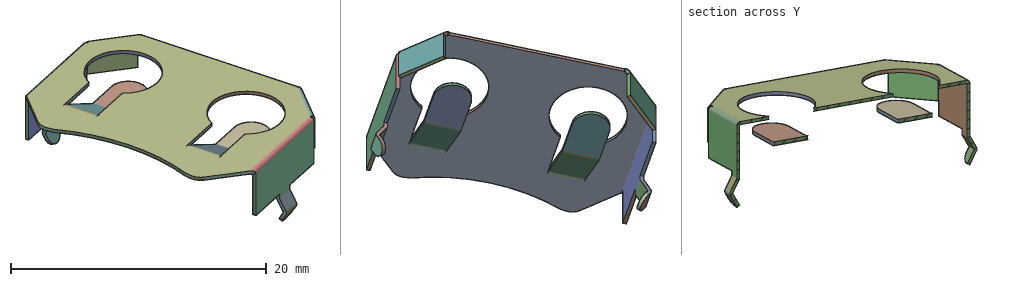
import cadquery as cq
import math


sheet = 0.30
bend_inner = 0.05
bend_outer = bend_inner + sheet

overall_width = 22.35
overall_depth = 15.29
overall_height = 7.06
rear_limit = overall_depth / 2
front_limit = -overall_depth / 2

wall_face_x = 10.55
wall_bend_x = wall_face_x - bend_outer
rear_edge_y = 7.565
rear_corner_sum = 14.69
front_corner_sum = 14.90
nose_radius = 1.28
nose_end_x = 6.56
scallop_end_x = 6.03
scallop_end_y = -7.555
scallop_middle_y = -6.41

wall_height = 4.25
wall_rear_y = 4.42
wall_front_y = wall_face_x - front_corner_sum
tab_width = 1.56
tab_kink_depth = 4.64
tab_angle = 30.0

flange_height = 3.03

finger_x = 5.62
finger_width = 3.03
finger_root_y = -4.21
finger_tip_y = 4.56
finger_drop = 2.28
finger_angle = 28.5
root_bend_inner = 0.40
contact_bend_inner = 0.25
opening_radius = 3.06
opening_y = 2.29


def polar(length, heading):
    """Vector of the given length at a heading in degrees."""
    angle = math.radians(heading)
    return cq.Vector(length * math.cos(angle), length * math.sin(angle))


def turned(point, centre, angle):
    """Point rotated about a centre by an angle in degrees."""
    arm = point - centre
    return centre + polar(arm.Length, math.degrees(math.atan2(arm.y, arm.x)) + angle)


def straight(length):
    return ("straight", length, 0.0)


def bend(angle, inner=bend_inner):
    """Bend by an angle in degrees, positive towards the top face."""
    return ("bend", angle, inner)


def trace_strip(steps):
    """Follow both faces of a strip that starts level at (0, 0) on its top face.

    Returns the points of each face as (arc midpoint or None, end point), and the final heading.
    """
    heading = 0.0
    top = cq.Vector(0, 0)
    bottom = cq.Vector(0, -sheet)
    top_path = [(None, top)]
    bottom_path = [(None, bottom)]
    for kind, amount, inner in steps:
        if kind == "straight":
            step = polar(amount, heading)
            top_mid = None
            bottom_mid = None
            top = top + step
            bottom = bottom + step
        else:
            centre = top + polar(inner, heading + 90)
            if amount < 0:
                centre = bottom + polar(inner, heading - 90)
            top_mid = turned(top, centre, amount / 2)
            bottom_mid = turned(bottom, centre, amount / 2)
            top = turned(top, centre, amount)
            bottom = turned(bottom, centre, amount)
            heading += amount
        top_path.append((top_mid, top))
        bottom_path.append((bottom_mid, bottom))
    return top_path, bottom_path, heading


def draw_to(sketch, mid, end):
    if mid is None:
        return sketch.lineTo(end.x, end.y)
    return sketch.threePointArc((mid.x, mid.y), (end.x, end.y))


def bent_strip(plane, steps, width):
    """Solid strip whose side profile lies in the plane, extruded along the plane normal."""
    top_path, bottom_path, _ = trace_strip(steps)
    sketch = cq.Workplane(plane).moveTo(0, 0)
    for mid, end in top_path[1:]:
        sketch = draw_to(sketch, mid, end)
    tip = bottom_path[-1][1]
    sketch = sketch.lineTo(tip.x, tip.y)
    for index in range(len(bottom_path) - 1, 0, -1):
        sketch = draw_to(sketch, bottom_path[index][0], bottom_path[index - 1][1])
    return sketch.close().extrude(width)


def half_plate():
    nose_y = front_limit + nose_radius
    nose_x = front_corner_sum - nose_radius * math.sqrt(2) + nose_y
    nose = cq.Vector(nose_x, nose_y)
    nose_start = nose + polar(nose_radius, -45)
    nose_low = nose + polar(nose_radius, -90)
    nose_end_y = nose_y - math.sqrt(nose_radius**2 - (nose_end_x - nose_x)**2)

    scallop_rise = scallop_middle_y - scallop_end_y
    scallop_radius = (scallop_end_x**2 + scallop_rise**2) / (2 * scallop_rise)
    scallop_mid_x = scallop_end_x / 2
    scallop_centre_y = scallop_middle_y - scallop_radius
    scallop_mid_y = scallop_centre_y + math.sqrt(scallop_radius**2 - scallop_mid_x**2)

    outline = (
        cq.Workplane("XY")
        .moveTo(0, rear_edge_y)
        .lineTo(rear_corner_sum - rear_edge_y, rear_edge_y)
        .lineTo(wall_bend_x, rear_corner_sum - wall_bend_x)
        .lineTo(wall_bend_x, wall_bend_x - front_corner_sum)
        .lineTo(nose_start.x, nose_start.y)
        .threePointArc((nose_low.x, nose_low.y), (nose_end_x, nose_end_y))
        .lineTo(scallop_end_x, scallop_end_y)
        .threePointArc((scallop_mid_x, scallop_mid_y), (0, scallop_middle_y))
        .close()
    )
    plate = outline.extrude(-sheet)
    slot = (
        cq.Workplane("XY")
        .center(finger_x, (finger_root_y + opening_y) / 2)
        .rect(finger_width, opening_y - finger_root_y)
        .extrude(-sheet)
    )
    hole = cq.Workplane("XY").center(finger_x, opening_y).circle(opening_radius).extrude(-sheet)
    return plate.cut(slot).cut(hole)


def side_wall():
    """Wall bent down from the plate, its bend mitred at the front along the plate corner."""
    bend_front_y = wall_bend_x - front_corner_sum
    plane = cq.Plane((wall_bend_x, wall_rear_y, 0), (1, 0, 0), (0, -1, 0))
    steps = [bend(-90), straight(wall_height - bend_outer)]
    wall = bent_strip(plane, steps, wall_rear_y - bend_front_y)
    bend_plan = (
        cq.Workplane("XY")
        .polyline([
            (wall_bend_x, wall_rear_y),
            (wall_face_x, wall_rear_y),
            (wall_face_x, wall_front_y),
            (wall_bend_x, bend_front_y),
        ])
        .close()
        .extrude(-bend_outer)
    )
    wall_block = (
        cq.Workplane("XY", origin=(wall_bend_x, wall_front_y, -bend_outer))
        .rect(bend_outer, wall_rear_y - wall_front_y, centered=False)
        .extrude(bend_outer - wall_height)
    )
    return wall.intersect(bend_plan.union(wall_block))


def snap_tab():
    """Tab that kinks out below the wall and back in, with a fully rounded tip."""
    sine = math.sin(math.radians(tab_angle))
    cosine = math.cos(math.radians(tab_angle))
    kink_run = overall_width / 2 - bend_outer - (wall_face_x + bend_inner)
    bend_gap = bend_inner + bend_outer
    out_leg = (kink_run + bend_gap * cosine) / sine
    apex_depth = tab_kink_depth + bend_gap * sine + out_leg * cosine
    in_leg = (overall_height - apex_depth - bend_outer * sine) / cosine
    steps = [
        bend(-90),
        straight(tab_kink_depth - bend_outer),
        bend(tab_angle),
        straight(out_leg),
        bend(-2 * tab_angle),
        straight(in_leg),
    ]
    plane = cq.Plane((wall_bend_x, tab_width / 2, 0), (1, 0, 0), (0, -1, 0))
    tab = bent_strip(plane, steps, tab_width)

    top_path, _, heading = trace_strip(steps)
    tip = top_path[-1][1]
    along = polar(1, heading)
    outward = polar(1, heading + 90)
    tip_plane = cq.Plane(
        (wall_bend_x + tip.x, 0, tip.y),
        (along.x, 0, along.y),
        (outward.x, 0, outward.y),
    )
    tip_radius = tab_width / 2
    tip_block = cq.Workplane(tip_plane).center(-tip_radius / 2, 0).rect(tip_radius, tab_width)
    tip_disc = cq.Workplane(tip_plane).center(-tip_radius, 0).circle(tip_radius)
    return tab.cut(tip_block.extrude(-sheet).cut(tip_disc.extrude(-sheet)))


def rear_flange():
    """Flange bent down along the 45 degree rear corner, its rear end tapered through the bend."""
    diagonal = math.sqrt(2)
    front_corner_y = rear_corner_sum - wall_bend_x
    rear_corner_x = rear_corner_sum - rear_edge_y
    bend_length = (wall_bend_x - rear_corner_x) * diagonal
    taper = (rear_edge_y - rear_corner_x) / diagonal
    plane = cq.Plane((rear_corner_x, rear_edge_y, 0), (1, 1, 0), (1, -1, 0))
    steps = [bend(-90), straight(flange_height - bend_outer)]
    flange = bent_strip(plane, steps, bend_length)

    elevation_plane = cq.Plane((wall_bend_x, front_corner_y, 0), (-1, 1, 0), (1, 1, 0))
    elevation = (
        cq.Workplane(elevation_plane)
        .polyline([
            (0, 0),
            (bend_length, 0),
            (bend_length - taper, -bend_outer),
            (bend_length - taper, -flange_height),
            (0, -flange_height),
        ])
        .close()
        .extrude(bend_outer)
    )
    behind = (
        cq.Workplane("XY", origin=(0, rear_limit, 0))
        .rect(overall_width, 2 * bend_outer, centered=(True, False))
        .extrude(-flange_height)
    )
    return flange.intersect(elevation).cut(behind)


def contact_finger():
    """Finger sloping down from the front of its opening to a level, round-ended contact."""
    sine = math.sin(math.radians(finger_angle))
    cosine = math.cos(math.radians(finger_angle))
    root_outer = root_bend_inner + sheet
    bends_drop = (root_outer + contact_bend_inner) * (1 - cosine)
    slope_length = (finger_drop - bends_drop) / sine
    slope_run = slope_length * cosine + (root_outer + contact_bend_inner) * sine
    contact_length = finger_tip_y - finger_root_y - slope_run
    steps = [
        bend(-finger_angle, root_bend_inner),
        straight(slope_length),
        bend(finger_angle, contact_bend_inner),
        straight(contact_length),
    ]
    plane = cq.Plane((finger_x - finger_width / 2, finger_root_y, 0), (0, 1, 0), (1, 0, 0))
    finger = bent_strip(plane, steps, finger_width)

    tip_radius = finger_width / 2
    tip_block = (
        cq.Workplane("XY")
        .center(finger_x, finger_tip_y - tip_radius / 2)
        .rect(finger_width, tip_radius)
        .extrude(-finger_drop - sheet)
    )
    tip_disc = (
        cq.Workplane("XY")
        .center(finger_x, finger_tip_y - tip_radius)
        .circle(tip_radius)
        .extrude(-finger_drop - sheet)
    )
    return finger.cut(tip_block.cut(tip_disc))


half = half_plate()
for feature in (side_wall(), snap_tab(), rear_flange(), contact_finger()):
    half = half.union(feature)

result = half.union(half.mirror("YZ")).clean()